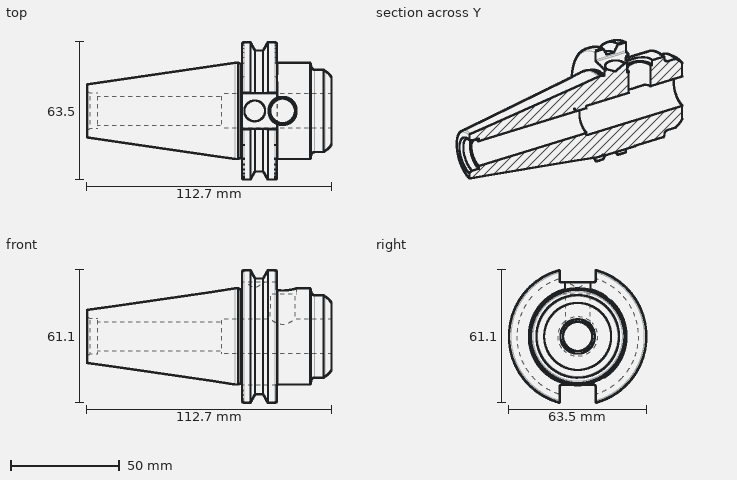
import cadquery as cq
import math

length = 112.7
taper_end_x = 68.2
relief_start_x = 69.5
relief_end_x = 70.7
flange_start_x = 71.5
flange_end_x = 87.6
body_end_x = 103.3
nose_cone_x = 109.0
nose_round_x = 109.7

taper_slope = 7 / 48
taper_radius = 44.4 / 2
relief_radius = 43.6 / 2
small_end_round = 0.7
small_end_radius = taper_radius - taper_slope * (taper_end_x - small_end_round)

flange_radius = 63.5 / 2
flange_edge_fillet = 1.0
groove_radius = 28.0
groove_x = 79.3
groove_floor_width = 3.7
groove_flank_angle = 30.0
groove_flank_run = (flange_radius - groove_radius) * math.tan(math.radians(groove_flank_angle))

body_radius = taper_radius
body_chamfer = 0.7
body_root_fillet = 0.3
nose_radius = 38.1 / 2
nose_fillet = 1.6
nose_round_start_radius = 18.5
nose_face_radius = 15.4
nose_round_mid_x = 111.7
nose_round_mid_radius = 16.9

cutter_clearance = 1.1
slot_width = 16.5
slot_middle_x = (flange_start_x + flange_end_x) / 2
slot_floor_top = 25.0
slot_floor_bottom = 22.4
slot_corner_fillet = 0.6
slot_edge_chamfer = 0.5

dimple_x = 77.3
dimple_diameter = 9.6
dimple_depth = 2.8

screw_x = 90.2
screw_diameter = 11.4
screw_mouth_diameter = 13.0
screw_mouth_floor_z = 19.5

through_diameter = 13.4
shank_bore_diameter = 15.9
shank_bore_start_x = 62.0
rear_bore_diameter = 16.3
rear_bore_depth = 5.0
rear_mouth_diameter = 18.3
rear_mouth_depth = 1.5


def make_body():
    """Revolve the outer outline around the X axis."""
    half_floor = groove_floor_width / 2
    outline = (
        cq.Workplane("XY")
        .moveTo(0, 0)
        .lineTo(0, small_end_radius - small_end_round)
        .radiusArc((small_end_round, small_end_radius), small_end_round)
        .lineTo(taper_end_x, taper_radius)
        .lineTo(relief_start_x, taper_radius)
        .lineTo(relief_end_x, relief_radius)
        .lineTo(flange_start_x, relief_radius)
        .lineTo(flange_start_x, flange_radius - flange_edge_fillet)
        .radiusArc((flange_start_x + flange_edge_fillet, flange_radius), flange_edge_fillet)
        .lineTo(groove_x - half_floor - groove_flank_run, flange_radius)
        .lineTo(groove_x - half_floor, groove_radius)
        .lineTo(groove_x + half_floor, groove_radius)
        .lineTo(groove_x + half_floor + groove_flank_run, flange_radius)
        .lineTo(flange_end_x - flange_edge_fillet, flange_radius)
        .radiusArc((flange_end_x, flange_radius - flange_edge_fillet), flange_edge_fillet)
        .lineTo(flange_end_x, body_radius + body_root_fillet)
        .radiusArc((flange_end_x + body_root_fillet, body_radius), -body_root_fillet)
        .lineTo(body_end_x - body_chamfer, body_radius)
        .lineTo(body_end_x, body_radius - body_chamfer)
        .lineTo(body_end_x, nose_radius + nose_fillet)
        .radiusArc((body_end_x + nose_fillet, nose_radius), -nose_fillet)
        .lineTo(nose_cone_x, nose_radius)
        .lineTo(nose_round_x, nose_round_start_radius)
        .threePointArc((nose_round_mid_x, nose_round_mid_radius), (length, nose_face_radius))
        .lineTo(length, 0)
        .close()
    )
    return outline.revolve(360, (0, 0, 0), (1, 0, 0))


def slot_cutter(floor_height, direction):
    """Slot across the flange, open upwards (+1) or downwards (-1)."""
    depth = flange_radius - floor_height + cutter_clearance
    floor_edges = "<Z" if direction > 0 else ">Z"
    cutter = cq.Workplane("XY").box(flange_end_x - flange_start_x, slot_width, depth)
    cutter = cutter.faces(floor_edges).edges("|X").fillet(slot_corner_fillet)
    return cutter.translate((slot_middle_x, 0, direction * (floor_height + depth / 2)))


def slot_edge_cutter(direction):
    """V wedge that chamfers the outer edges of a slot where it meets the flange rim."""
    half_width = slot_width / 2
    rim_height = math.sqrt(flange_radius**2 - half_width**2)
    wedge_tip = rim_height - slot_edge_chamfer
    wedge_top = flange_radius + cutter_clearance
    top_half_width = half_width + wedge_top - wedge_tip
    wedge = (
        cq.Workplane("YZ", origin=(flange_start_x, 0, 0))
        .polyline([
            (-half_width, direction * wedge_tip),
            (half_width, direction * wedge_tip),
            (top_half_width, direction * wedge_top),
            (-top_half_width, direction * wedge_top),
        ])
        .close()
    )
    return wedge.extrude(flange_end_x - flange_start_x)


def dimple_cutter():
    """Cone pointing down from the upper slot floor."""
    cone = cq.Solid.makeCone(dimple_diameter / 2, 0, dimple_depth, dir=cq.Vector(0, 0, -1))
    return cq.Workplane(cone.translate(cq.Vector(dimple_x, 0, slot_floor_top)))


def screw_hole_cutter():
    """Radial screw hole with a wider mouth, reaching the axial bore."""
    screw = cq.Workplane("XY").center(screw_x, 0).circle(screw_diameter / 2).extrude(flange_radius)
    mouth = (
        cq.Workplane("XY", origin=(screw_x, 0, screw_mouth_floor_z))
        .circle(screw_mouth_diameter / 2)
        .extrude(flange_radius - screw_mouth_floor_z)
    )
    return screw.union(mouth)


def bore_cutter():
    """Stepped bore along the whole axis, with a chamfered rear mouth."""
    outline = (
        cq.Workplane("XY")
        .moveTo(0, 0)
        .lineTo(0, rear_mouth_diameter / 2)
        .lineTo(rear_mouth_depth, rear_bore_diameter / 2)
        .lineTo(rear_bore_depth, rear_bore_diameter / 2)
        .lineTo(rear_bore_depth, through_diameter / 2)
        .lineTo(shank_bore_start_x, through_diameter / 2)
        .lineTo(shank_bore_start_x, shank_bore_diameter / 2)
        .lineTo(length, shank_bore_diameter / 2)
        .lineTo(length, 0)
        .close()
    )
    return outline.revolve(360, (0, 0, 0), (1, 0, 0))


result = (
    make_body()
    .cut(slot_cutter(slot_floor_top, 1))
    .cut(slot_cutter(slot_floor_bottom, -1))
    .cut(slot_edge_cutter(1))
    .cut(slot_edge_cutter(-1))
    .cut(dimple_cutter())
    .cut(screw_hole_cutter())
    .cut(bore_cutter())
)